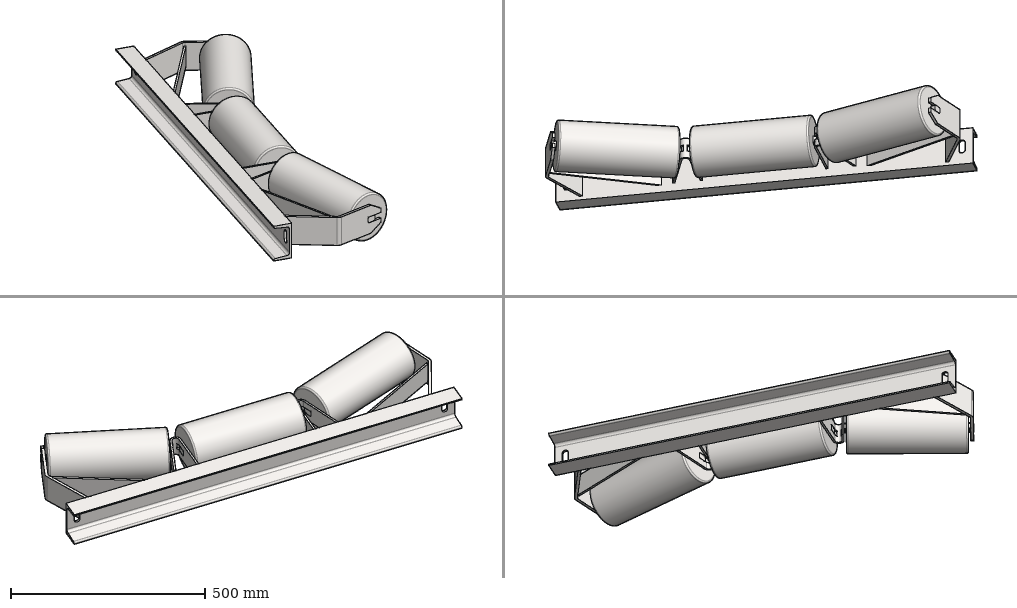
import cadquery as cq
import math

CHANNEL_LENGTH = 1100.0
CHANNEL_HEIGHT = 100.0
CHANNEL_DEPTH = CHANNEL_HEIGHT / 2
WEB_THICKNESS = 6.0
FLANGE_THICKNESS = 8.0
FLANGE_SLOPE = 0.08
ROOT_RADIUS = 8.0
TOE_RADIUS = 5.0

MOUNT_SLOT_LENGTH = 36.0
MOUNT_SLOT_WIDTH = 16.0
MOUNT_SLOT_END_DISTANCE = 29.0

ROLLER_DIAMETER = 133.0
ROLLER_LENGTH = 315.0
ROLLER_EDGE_RADIUS = 4.0
MIDDLE_ROLLER_Y = 167.0
SIDE_ROLLER_X = 350.0
SIDE_ROLLER_Y = 229.0
TROUGH_ANGLE = 20.0

SHAFT_DIAMETER = 25.0
SHAFT_FLATS = 16.0
SHAFT_GAP = 5.0
SHAFT_SHOULDER = 2.8

END_PLATE_WIDTH = 80.0
END_PLATE_THICKNESS = 8.0
END_BEND_RADIUS = 12.0
END_BEND_DROP = 109.0
END_TIP_RISE = 32.0
END_FOOT_X = 483.0
TIP_CHAMFER_RISE = 34.0
TIP_CHAMFER_WIDTH = 20.0

INNER_PLATE_THICKNESS = 5.0
INNER_PLATE_WIDTH = 55.0
INNER_BEND_RADIUS = 12.0

BRACE_THICKNESS = 5.0
BRACE_WIDTH = 59.0
BRACE_FOOT_X = 277.0
BRACE_RISE = 5.0

ROLLER_RADIUS = ROLLER_DIAMETER / 2
SHAFT_RADIUS = SHAFT_DIAMETER / 2
BRACKET_FACE = ROLLER_LENGTH / 2 + SHAFT_GAP
SHOULDER_FACE = ROLLER_LENGTH / 2 + SHAFT_SHOULDER
TILT = math.radians(TROUGH_ANGLE)
END_PLATE_MIDDLE = BRACKET_FACE + END_PLATE_THICKNESS / 2
INNER_PLATE_MIDDLE = BRACKET_FACE + INNER_PLATE_THICKNESS / 2

FOOT_OVERRUN = 22.0
SELECT_MARGIN = 1.0
CUT_SIZE = 2 * CHANNEL_LENGTH


def side_point(along, across):
    """XY point beside the left roller: 'along' its axis outwards, 'across' it away from the channel."""
    x = -SIDE_ROLLER_X - along * math.cos(TILT) + across * math.sin(TILT)
    y = SIDE_ROLLER_Y + along * math.sin(TILT) + across * math.cos(TILT)
    return (x, y)


END_BEND = side_point(END_PLATE_MIDDLE, -END_BEND_DROP)


def toward(start, end, distance):
    """Point at a distance from start on the line to end."""
    share = distance / math.dist(start, end)
    return (start[0] + share * (end[0] - start[0]), start[1] + share * (end[1] - start[1]))


def on_left_roller(shape):
    """Move a shape built on the X axis onto the left roller's axis."""
    return shape.rotate((0, 0, 0), (0, 0, 1), -TROUGH_ANGLE).translate((-SIDE_ROLLER_X, SIDE_ROLLER_Y, 0))


def on_middle_roller(shape):
    """Move a shape built on the X axis onto the middle roller's axis."""
    return shape.translate((0, MIDDLE_ROLLER_Y, 0))


def trimmed_at_web(shape):
    """Cut away everything on the channel's side of the web's back face."""
    channel_side = cq.Workplane("XY").box(CUT_SIZE, CUT_SIZE, CUT_SIZE)
    return shape.cut(channel_side.translate((0, CHANNEL_DEPTH - CUT_SIZE / 2, 0)))


def swept_plate(path, start, end, thickness, width):
    """Plate of constant thickness whose middle follows a path in XY that sets off from start towards end."""
    direction = cq.Vector(end[0] - start[0], end[1] - start[1], 0)
    section = cq.Plane(origin=(start[0], start[1], 0), xDir=(0, 0, 1), normal=direction)
    return cq.Workplane(section).rect(width, thickness).sweep(path)


def edges_near_y(body, y, half_height):
    """Edges along X at a given Y that lie within a half height of the middle plane."""
    reach = half_height + SELECT_MARGIN
    low = (-SELECT_MARGIN, y - SELECT_MARGIN, -reach)
    high = (SELECT_MARGIN, y + SELECT_MARGIN, reach)
    return body.edges("|X").edges(cq.selectors.BoxSelector(low, high))


def make_channel():
    """Channel with tapered flanges that point towards -Y and an upright mounting slot near each end."""
    half_height = CHANNEL_HEIGHT / 2
    taper = FLANGE_SLOPE * (CHANNEL_DEPTH - WEB_THICKNESS) / 2
    root_z = half_height - FLANGE_THICKNESS - taper
    toe_z = half_height - FLANGE_THICKNESS + taper
    web_y = CHANNEL_DEPTH - WEB_THICKNESS
    outline = [
        (0, half_height),
        (CHANNEL_DEPTH, half_height),
        (CHANNEL_DEPTH, -half_height),
        (0, -half_height),
        (0, -toe_z),
        (web_y, -root_z),
        (web_y, root_z),
        (0, toe_z),
    ]
    body = cq.Workplane("YZ").polyline(outline).close().extrude(CHANNEL_LENGTH / 2, both=True)
    roots = edges_near_y(body, web_y, root_z)
    body = roots.fillet(ROOT_RADIUS)
    toes = edges_near_y(body, 0, toe_z)
    body = toes.fillet(TOE_RADIUS)
    slot_x = CHANNEL_LENGTH / 2 - MOUNT_SLOT_END_DISTANCE
    slots = (
        cq.Workplane("XZ")
        .pushPoints([(-slot_x, 0), (slot_x, 0)])
        .slot2D(MOUNT_SLOT_LENGTH, MOUNT_SLOT_WIDTH, 90)
        .extrude(-CHANNEL_DEPTH)
    )
    return body.cut(slots)


def x_cylinder(radius, start_x, end_x):
    """Cylinder around the X axis."""
    return cq.Workplane("YZ", origin=(start_x, 0, 0)).circle(radius).extrude(end_x - start_x)


def flatted_shaft(start_x, end_x):
    """Shaft around the X axis with a flat above and below."""
    flats = cq.Workplane("XY").box(CUT_SIZE, SHAFT_DIAMETER, SHAFT_FLATS)
    return x_cylinder(SHAFT_RADIUS, start_x, end_x).intersect(flats)


def make_roller(inner_plate, outer_plate):
    """Roller on the X axis with flatted shaft ends that fill the inner (+X) and outer (-X) plate."""
    drum = x_cylinder(ROLLER_RADIUS, -ROLLER_LENGTH / 2, ROLLER_LENGTH / 2)
    drum = drum.edges().fillet(ROLLER_EDGE_RADIUS)
    shaft = x_cylinder(SHAFT_RADIUS, -SHOULDER_FACE, SHOULDER_FACE)
    flatted_ends = flatted_shaft(-BRACKET_FACE - outer_plate, BRACKET_FACE + inner_plate)
    return drum.union(shaft).union(flatted_ends)


def make_shaft_slot(plate_x, thickness):
    """Cutter for the slot, open away from the channel, that holds a shaft end in a plate at plate_x."""
    seat = flatted_shaft(-thickness, thickness)
    opening = cq.Workplane("YZ").center(ROLLER_RADIUS / 2, 0).rect(ROLLER_RADIUS, SHAFT_FLATS)
    return seat.union(opening.extrude(thickness, both=True)).translate((plate_x, 0, 0))


def make_end_bracket():
    """Left end bracket: a leg up from the channel, bent to stand square to the roller's axis."""
    foot = (-END_FOOT_X, CHANNEL_DEPTH)
    tip = side_point(END_PLATE_MIDDLE, END_TIP_RISE)
    start = toward(foot, END_BEND, -FOOT_OVERRUN)
    bend_angle = TILT + math.atan2(foot[0] - END_BEND[0], END_BEND[1] - foot[1])
    tangent_length = END_BEND_RADIUS * math.tan(bend_angle / 2)
    path = (
        cq.Workplane("XY")
        .moveTo(*start)
        .lineTo(*toward(END_BEND, foot, tangent_length))
        .tangentArcPoint(toward(END_BEND, tip, tangent_length), relative=False)
        .lineTo(*tip)
    )
    plate = swept_plate(path, start, END_BEND, END_PLATE_THICKNESS, END_PLATE_WIDTH)
    half_width = END_PLATE_WIDTH / 2
    for side in (-1, 1):
        corner = [
            (END_TIP_RISE, side * (half_width - TIP_CHAMFER_WIDTH)),
            (END_TIP_RISE, side * half_width),
            (END_TIP_RISE - TIP_CHAMFER_RISE, side * half_width),
        ]
        cutter = cq.Workplane("YZ").polyline(corner).close().extrude(END_PLATE_THICKNESS, both=True)
        plate = plate.cut(on_left_roller(cutter.translate((-END_PLATE_MIDDLE, 0, 0))))
    plate = plate.cut(on_left_roller(make_shaft_slot(-END_PLATE_MIDDLE, END_PLATE_THICKNESS)))
    return trimmed_at_web(plate)


def make_inner_bracket():
    """Left inner bracket: a bent-over strip between the left and the middle roller."""
    radius = INNER_BEND_RADIUS
    upright_x = -INNER_PLATE_MIDDLE
    bend_x = upright_x - radius
    reach = (bend_x + SIDE_ROLLER_X) * math.cos(TILT) - INNER_PLATE_MIDDLE - radius
    bend_y = SIDE_ROLLER_Y + reach / math.sin(TILT)
    lean_end = (bend_x - radius * math.cos(TILT), bend_y + radius * math.sin(TILT))
    half_turn = (math.pi - TILT) / 2
    bend_top = (bend_x + radius * math.cos(half_turn), bend_y + radius * math.sin(half_turn))
    start_drop = (lean_end[1] - CHANNEL_DEPTH + FOOT_OVERRUN) / math.cos(TILT)
    start = (lean_end[0] - start_drop * math.sin(TILT), lean_end[1] - start_drop * math.cos(TILT))
    path = (
        cq.Workplane("XY")
        .moveTo(*start)
        .lineTo(*lean_end)
        .threePointArc(bend_top, (upright_x, bend_y))
        .lineTo(upright_x, CHANNEL_DEPTH)
    )
    plate = swept_plate(path, start, lean_end, INNER_PLATE_THICKNESS, INNER_PLATE_WIDTH)
    plate = plate.cut(on_left_roller(make_shaft_slot(INNER_PLATE_MIDDLE, INNER_PLATE_THICKNESS)))
    plate = plate.cut(on_middle_roller(make_shaft_slot(-INNER_PLATE_MIDDLE, INNER_PLATE_THICKNESS)))
    return trimmed_at_web(plate)


def make_brace(end_bracket):
    """Left brace: a flat strip from the channel up into the bend of the end bracket."""
    foot = (-BRACE_FOOT_X, CHANNEL_DEPTH)
    head = side_point(END_PLATE_MIDDLE, BRACE_RISE - END_BEND_DROP)
    start = toward(foot, head, -FOOT_OVERRUN)
    path = cq.Workplane("XY").moveTo(*start).lineTo(*head)
    plate = swept_plate(path, start, head, BRACE_THICKNESS, BRACE_WIDTH)
    return trimmed_at_web(plate).cut(end_bracket)


channel = make_channel()
middle_roller = on_middle_roller(make_roller(INNER_PLATE_THICKNESS, INNER_PLATE_THICKNESS))
left_roller = on_left_roller(make_roller(INNER_PLATE_THICKNESS, END_PLATE_THICKNESS))
left_end_bracket = make_end_bracket()
left_inner_bracket = make_inner_bracket()
left_brace = make_brace(left_end_bracket)

bodies = [channel.val(), middle_roller.val()]
for left_body in (left_roller, left_end_bracket, left_inner_bracket, left_brace):
    bodies.append(left_body.val())
    bodies.append(left_body.mirror("YZ").val())

result = cq.Compound.makeCompound(bodies)